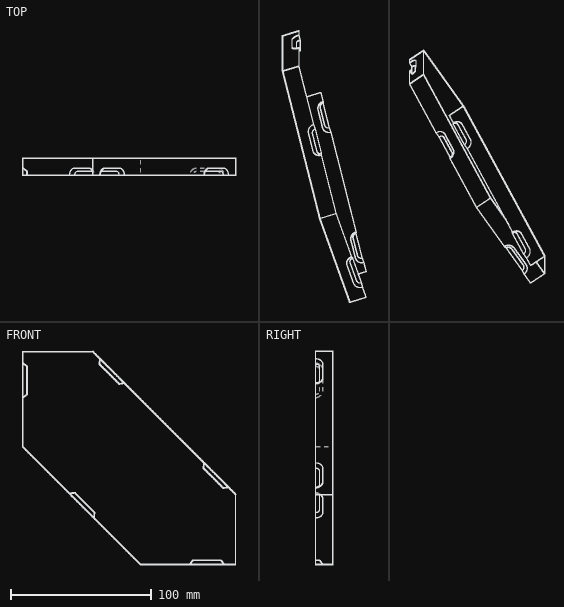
import cadquery as cq
import math

SIZE = 152.4
DEPTH = 12.5
SHEET = 0.5
PLAIN_EDGE = 50.0
CUT_LEG = 84.1

RECESS_LENGTH = 24.4
RECESS_HEIGHT = 5.0
RECESS_DEPTH = 3.0
RECESS_TAPER = 2.3
END_RECESS_INSET = 20.4
LONG_RECESS_SPACING = 105.0

OVERHANG = SHEET * math.sin(math.pi / 4)
FLOOR_SIZE = SIZE - OVERHANG

wall_slope = math.atan2(RECESS_TAPER, RECESS_DEPTH)
BULGE_OFFSET = SHEET * (1 / math.cos(wall_slope) - math.tan(wall_slope))


def prism(points):
    """Extrude an XZ outline over the full depth, from the free edge at Y = 0."""
    return cq.Workplane("XZ").polyline(points).close().extrude(-DEPTH)


def square_ended_flange(start, end):
    """Upright strip whose inner face runs from start to end, with the tray on its right."""
    run_x = end[0] - start[0]
    run_z = end[1] - start[1]
    scale = SHEET / math.hypot(run_x, run_z)
    shift_x = -run_z * scale
    shift_z = run_x * scale
    outer_end = (end[0] + shift_x, end[1] + shift_z)
    outer_start = (start[0] + shift_x, start[1] + shift_z)
    return prism([start, end, outer_end, outer_start])


def recess_body(centre, inward_angle, start_depth, offset):
    """Tapered rounded block on a flange, centred on the free edge at Y = 0."""
    inward_x = math.cos(inward_angle)
    inward_z = math.sin(inward_angle)
    origin = (centre[0] + inward_x * start_depth, 0, centre[1] + inward_z * start_depth)
    plane = cq.Plane(origin, xDir=(-inward_z, 0, inward_x), normal=(inward_x, 0, inward_z))
    mouth_length = RECESS_LENGTH + 2 * offset
    mouth_height = 2 * (RECESS_HEIGHT + offset)
    mouth = cq.Sketch().slot(mouth_length - mouth_height, mouth_height)
    bottom = cq.Sketch().slot(mouth_length - mouth_height, mouth_height - 2 * RECESS_TAPER)
    bottom = bottom.moved(cq.Location(cq.Vector(0, 0, RECESS_DEPTH)))
    return cq.Workplane(plane).placeSketch(mouth, bottom).loft()


upper_left = (0, FLOOR_SIZE)
long_start = (PLAIN_EDGE, FLOOR_SIZE)
long_end = (FLOOR_SIZE, PLAIN_EDGE)
lower_right = (FLOOR_SIZE, 0)
cut_bottom = (CUT_LEG, 0)
cut_left = (0, CUT_LEG)
outline = [upper_left, long_start, long_end, lower_right, cut_bottom, cut_left]

inner_cut_leg = CUT_LEG + SHEET * math.sqrt(2)
interior = prism([
    (SHEET, FLOOR_SIZE),
    long_start,
    long_end,
    (FLOOR_SIZE, SHEET),
    (inner_cut_leg - SHEET, SHEET),
    (SHEET, inner_cut_leg - SHEET),
]).translate((0, -SHEET, 0))
tray = prism(outline).cut(interior).union(square_ended_flange(long_start, long_end))

long_middle = (PLAIN_EDGE + FLOOR_SIZE) / 2 + OVERHANG
half_step = LONG_RECESS_SPACING / 2 * math.sin(math.pi / 4)
recesses = [
    ((0, FLOOR_SIZE - END_RECESS_INSET), 0),
    ((FLOOR_SIZE - END_RECESS_INSET, 0), math.pi / 2),
    ((CUT_LEG / 2, CUT_LEG / 2), math.pi / 4),
    ((long_middle - half_step, long_middle + half_step), -3 * math.pi / 4),
    ((long_middle + half_step, long_middle - half_step), -3 * math.pi / 4),
]

bulge_trim = cq.Workplane("XY").box(2 * SIZE, DEPTH, 2 * SIZE).translate((0, -DEPTH / 2, 0))
for centre, inward_angle in recesses:
    bulge = recess_body(centre, inward_angle, SHEET, BULGE_OFFSET).cut(bulge_trim)
    tray = tray.union(bulge)
for centre, inward_angle in recesses:
    tray = tray.cut(recess_body(centre, inward_angle, 0, 0))

result = tray